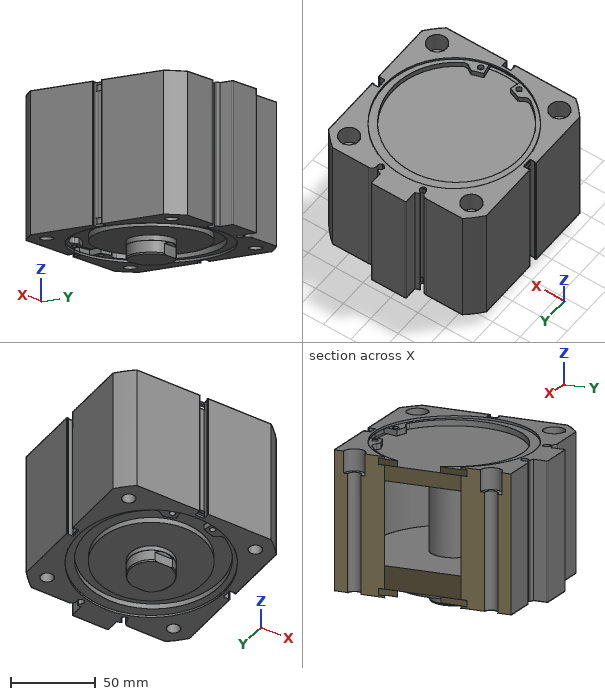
import cadquery as cq
import math


WIDTH = 115.0
HALF_WIDTH = WIDTH / 2
DEPTH = 124.0
HEIGHT = 87.5
CORNER_RADIUS = 74.4
BORE_RADIUS = 51.0

BLOCK_WIDTH = 25.3
BLOCK_TOP = DEPTH - HALF_WIDTH
BLOCK_FILLET = 0.6
GROOVE_X = 15.4
GROOVE_Y = 52.8
GROOVE_RADIUS = 2.1
GROOVE_LIP_RADIUS = 3.6
NUB_TIP_X = 15.6
NUB_TIP_Y = 56.0
NUB_ROUND = 0.43

SLOT_LIP = 1.0
SLOT_DEPTH = 4.6
SLOT_MOUTH_CHAMFER = 0.4
SIDE_SLOT_MOUTH = 5.7
SIDE_SLOT_WIDTH = 6.7
SIDE_SLOT_FILLET = 0.7
FRONT_SLOT_MOUTH = 5.2
FRONT_SLOT_WIDTH = 6.2

HOLE_OFFSET = 44.5
HOLE_DIAMETER = 8.5
COUNTERBORE_DIAMETER = 13.6
COUNTERBORE_DEPTH = 13.6

RING_RECESS = 1.5
RING_THICKNESS = 3.7
RING_OUTER_RADIUS = 53.1
RING_INNER_RADIUS = 46.7
RING_INNER_OFFSET = 2.4
EAR_TIP = (9.8, -42.4)
EAR_SHOULDER = (17.4, -39.8)
EAR_ROOT_MIDDLE = (22.1, -42.4)
EAR_ROOT_START = (19.8, -41.3)
EAR_ROOT_END_X = 25.3
EAR_END_SLOPE = 0.21
EAR_HOLE = (14.1, -45.1)
EAR_HOLE_RADIUS = 1.9
UPPER_RING_TURN = -1.0

HEAD_COVER_THICKNESS = 9.9
ROD_COVER_THICKNESS = 14.9
ROD_COVER_BOSS_RADIUS = 37.2

ROD_RADIUS = 15.0
ROD_PROJECTION = 9.9
ROD_SHOULDER = 1.7
TIP_RADIUS = 14.9
TIP_CHAMFER_HEIGHT = 1.0
TIP_CHAMFER_WIDTH = 0.5
FLAT_HALF_WIDTH = 13.5

RING_SEAT = RING_RECESS + RING_THICKNESS


def cylinder(radius, bottom, top):
    return cq.Workplane("XY", origin=(0, 0, bottom)).circle(radius).extrude(top - bottom)


def t_slot(mouth, width):
    """Full-height slot with a narrowed, chamfered mouth in the -Y face."""
    slot_floor = -HALF_WIDTH + SLOT_DEPTH
    lip_top = -HALF_WIDTH + SLOT_LIP
    right_side = [
        (mouth / 2 + SLOT_MOUTH_CHAMFER, -HALF_WIDTH),
        (mouth / 2, -HALF_WIDTH + SLOT_MOUTH_CHAMFER),
        (mouth / 2, lip_top),
        (width / 2, lip_top),
        (width / 2, slot_floor),
    ]
    left_side = [(-x, y) for x, y in reversed(right_side)]
    return cq.Workplane("XY").polyline(right_side + left_side).close().extrude(HEIGHT)


def sensor_groove(side):
    """Round-bottomed groove beside the port block; side is +1 or -1 along X."""
    wall_x = GROOVE_X + GROOVE_RADIUS
    lip_x = wall_x + GROOVE_LIP_RADIUS
    lip_y = HALF_WIDTH - GROOVE_LIP_RADIUS
    diagonal = math.sqrt(0.5)
    lip_middle = (lip_x - GROOVE_LIP_RADIUS * diagonal, lip_y + GROOVE_LIP_RADIUS * diagonal)
    groove_end = (GROOVE_X - GROOVE_RADIUS * diagonal, GROOVE_Y + GROOVE_RADIUS * diagonal)

    def at(x, y):
        return (side * x, y)

    return (
        cq.Workplane("XY")
        .moveTo(*at(lip_x, HALF_WIDTH))
        .threePointArc(at(*lip_middle), at(wall_x, lip_y))
        .lineTo(*at(wall_x, GROOVE_Y))
        .threePointArc(at(GROOVE_X, GROOVE_Y - GROOVE_RADIUS), at(*groove_end))
        .lineTo(*at(NUB_TIP_X - NUB_ROUND, NUB_TIP_Y - NUB_ROUND))
        .threePointArc(at(NUB_TIP_X, NUB_TIP_Y), at(NUB_TIP_X - NUB_ROUND, NUB_TIP_Y + NUB_ROUND))
        .lineTo(*at(BLOCK_WIDTH / 2, HALF_WIDTH))
        .close()
        .extrude(HEIGHT)
    )


def make_housing():
    body = cq.Workplane("XY").rect(WIDTH, WIDTH).extrude(HEIGHT)
    body = body.intersect(cylinder(CORNER_RADIUS, 0, HEIGHT))

    block = (
        cq.Workplane("XY")
        .center(0, (BLOCK_TOP + BORE_RADIUS) / 2)
        .rect(BLOCK_WIDTH, BLOCK_TOP - BORE_RADIUS)
        .extrude(HEIGHT)
        .edges("|Z and >Y")
        .fillet(BLOCK_FILLET)
    )
    body = body.union(block)
    for side in (-1, 1):
        body = body.cut(sensor_groove(side))

    body = body.cut(t_slot(FRONT_SLOT_MOUTH, FRONT_SLOT_WIDTH))
    side_slot = t_slot(SIDE_SLOT_MOUTH, SIDE_SLOT_WIDTH).edges("|Z and >Y").fillet(SIDE_SLOT_FILLET)
    for angle in (-90, 90):
        body = body.cut(side_slot.rotate((0, 0, 0), (0, 0, 1), angle))

    body = (
        body.faces(">Z")
        .workplane(origin=(0, 0, HEIGHT))
        .rect(2 * HOLE_OFFSET, 2 * HOLE_OFFSET, forConstruction=True)
        .vertices()
        .cboreHole(HOLE_DIAMETER, COUNTERBORE_DIAMETER, COUNTERBORE_DEPTH)
    )

    body = body.cut(cylinder(BORE_RADIUS, 0, HEIGHT))
    for seat_bottom in (RING_RECESS, HEIGHT - RING_SEAT):
        body = body.cut(cylinder(RING_OUTER_RADIUS, seat_bottom, seat_bottom + RING_THICKNESS))
    return body


def make_ring(bottom, turn):
    """Eccentric C-ring, open towards -Y, with an eared end on each side of the gap."""
    axis_x = EAR_TIP[0] + EAR_END_SLOPE * EAR_TIP[1]
    slope_term = 1 + EAR_END_SLOPE**2
    root_term = math.sqrt(slope_term * RING_OUTER_RADIUS**2 - axis_x**2)
    end_y = (EAR_END_SLOPE * axis_x - root_term) / slope_term
    end_x = axis_x - EAR_END_SLOPE * end_y

    root_end_y = -RING_INNER_OFFSET - math.sqrt(RING_INNER_RADIUS**2 - EAR_ROOT_END_X**2)
    inner_top = RING_INNER_RADIUS - RING_INNER_OFFSET

    def mirrored(point):
        return (-point[0], point[1])

    ring = (
        cq.Workplane("XY", origin=(0, 0, bottom))
        .moveTo(end_x, end_y)
        .threePointArc((0, RING_OUTER_RADIUS), (-end_x, end_y))
        .lineTo(*mirrored(EAR_TIP))
        .lineTo(*mirrored(EAR_SHOULDER))
        .lineTo(*mirrored(EAR_ROOT_START))
        .threePointArc(mirrored(EAR_ROOT_MIDDLE), (-EAR_ROOT_END_X, root_end_y))
        .threePointArc((0, inner_top), (EAR_ROOT_END_X, root_end_y))
        .threePointArc(EAR_ROOT_MIDDLE, EAR_ROOT_START)
        .lineTo(*EAR_SHOULDER)
        .lineTo(*EAR_TIP)
        .close()
        .extrude(RING_THICKNESS)
    )
    ear_holes = (
        cq.Workplane("XY", origin=(0, 0, bottom))
        .pushPoints([EAR_HOLE, mirrored(EAR_HOLE)])
        .circle(EAR_HOLE_RADIUS)
        .extrude(RING_THICKNESS)
    )
    return ring.cut(ear_holes).rotate((0, 0, 0), (0, 0, 1), turn)


def make_head_cover():
    top = HEIGHT - RING_SEAT
    return cylinder(BORE_RADIUS, top - HEAD_COVER_THICKNESS, top)


def make_rod_cover():
    """Disc inside the lower ring, with a guide boss reaching through the ring."""
    disc = cylinder(BORE_RADIUS, RING_SEAT, RING_SEAT + ROD_COVER_THICKNESS)
    boss = cylinder(ROD_COVER_BOSS_RADIUS, RING_RECESS, RING_SEAT)
    rod_hole = cylinder(ROD_RADIUS, RING_RECESS, RING_SEAT + ROD_COVER_THICKNESS)
    return disc.union(boss).cut(rod_hole)


def make_rod():
    """Rod from the head cover down to a tip with two wrench flats."""
    tip_end = -ROD_PROJECTION
    shaft = cylinder(ROD_RADIUS, -ROD_SHOULDER, HEIGHT - RING_SEAT - HEAD_COVER_THICKNESS)
    tip = cylinder(TIP_RADIUS, tip_end, -ROD_SHOULDER)
    tip = tip.faces("<Z").edges().chamfer(TIP_CHAMFER_HEIGHT, TIP_CHAMFER_WIDTH)

    flat_start = -ROD_SHOULDER - (TIP_RADIUS - FLAT_HALF_WIDTH)
    outside = 2 * TIP_RADIUS - FLAT_HALF_WIDTH
    flat = (
        cq.Workplane("YZ", origin=(-TIP_RADIUS, 0, 0))
        .moveTo(FLAT_HALF_WIDTH, tip_end)
        .lineTo(FLAT_HALF_WIDTH, flat_start)
        .lineTo(TIP_RADIUS, -ROD_SHOULDER)
        .lineTo(outside, -ROD_SHOULDER)
        .lineTo(outside, tip_end)
        .close()
        .extrude(2 * TIP_RADIUS)
    )
    tip = tip.cut(flat).cut(flat.mirror("XZ"))
    return shaft.union(tip)


housing = make_housing()
head_cover = make_head_cover()
rod_cover = make_rod_cover()
rod = make_rod()
rings = [
    make_ring(bottom, turn)
    for bottom, turn in ((RING_RECESS, 0), (HEIGHT - RING_SEAT, UPPER_RING_TURN))
]

result = cq.Compound.makeCompound(
    [housing.val(), head_cover.val(), rod_cover.val(), rod.val(), *[ring.val() for ring in rings]]
)